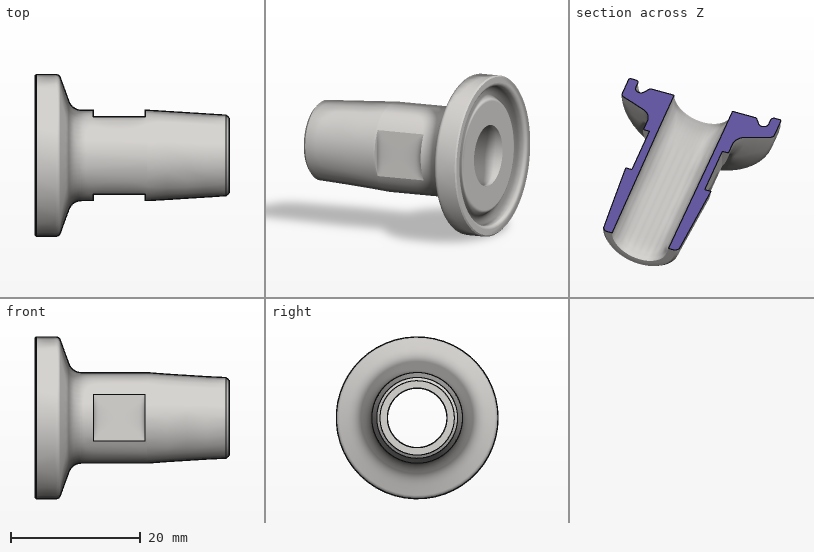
import cadquery as cq
import math

length = 30.0
shoulder_x = 17.3
end_chamfer = 0.5

flange_radius = 12.5
flange_chamfer = 0.2
flange_rim_x = 3.2
flange_cone_angle = math.radians(70)
flange_edge_fillet = 0.75
neck_fillet = 2.0

body_radius = 7.0
taper_slope = 1 / 16
flat_start_x = 9.0
flat_length = 8.0
flat_half_width = 6.0

entry_bore_radius = 4.75
exit_bore_radius = 4.58
entry_bore_end_x = 5.9

hub_recess = 0.88
hub_radius = 8.46
hub_edge_fillet = 0.5
hub_wall_angle = math.radians(55)
groove_outer_radius = 10.86
groove_floor_fillet = 0.8
groove_lip_fillet = 0.54


def arc_point(center, radius, angle):
    """Point (x, r) on a circle; the angle is measured from +X towards +r."""
    return (center[0] + radius * math.cos(angle), center[1] + radius * math.sin(angle))


def turned_body():
    """Flange, back cone, neck and tapered spigot as one revolved outline."""
    taper_end_x = length - end_chamfer
    taper_end_radius = body_radius - taper_slope * (taper_end_x - shoulder_x)

    normal = math.pi / 2 - flange_cone_angle
    edge_center = (flange_rim_x, flange_radius - flange_edge_fillet)
    cone_top = arc_point(edge_center, flange_edge_fillet, normal)
    edge_middle = arc_point(edge_center, flange_edge_fillet, (normal + math.pi / 2) / 2)

    neck_center_r = body_radius + neck_fillet
    cone_bottom_r = neck_center_r - neck_fillet * math.sin(normal)
    cone_bottom_x = cone_top[0] + (cone_top[1] - cone_bottom_r) / math.tan(flange_cone_angle)
    neck_center = (cone_bottom_x + neck_fillet * math.cos(normal), neck_center_r)
    neck_middle = arc_point(neck_center, neck_fillet, math.pi + (normal + math.pi / 2) / 2)

    outline = (
        cq.Workplane("XY")
        .moveTo(0, 0)
        .lineTo(0, flange_radius - flange_chamfer)
        .lineTo(flange_chamfer, flange_radius)
        .lineTo(flange_rim_x, flange_radius)
        .threePointArc(edge_middle, cone_top)
        .lineTo(cone_bottom_x, cone_bottom_r)
        .threePointArc(neck_middle, (neck_center[0], body_radius))
        .lineTo(shoulder_x, body_radius)
        .lineTo(taper_end_x, taper_end_radius)
        .lineTo(length, taper_end_radius - end_chamfer)
        .lineTo(length, 0)
        .close()
    )
    return outline.revolve(360, (0, 0), (1, 0))


def face_recess():
    """Hub recess and annular groove with a sloped inner wall, a round floor and a rounded outer lip."""
    hub_center = (hub_recess + hub_edge_fillet, hub_radius)
    wall_top = arc_point(hub_center, hub_edge_fillet, math.pi - hub_wall_angle)
    hub_middle = arc_point(hub_center, hub_edge_fillet, math.pi - hub_wall_angle / 2)

    floor_center_r = groove_outer_radius - groove_floor_fillet
    wall_bottom_r = floor_center_r - groove_floor_fillet * math.sin(hub_wall_angle)
    wall_bottom_x = wall_top[0] + (wall_bottom_r - wall_top[1]) * math.tan(hub_wall_angle)
    floor_center_x = wall_bottom_x - groove_floor_fillet * math.cos(hub_wall_angle)
    floor_bottom = (floor_center_x + groove_floor_fillet, floor_center_r)

    lip_center = (groove_lip_fillet, groove_outer_radius + groove_lip_fillet)
    lip_middle = arc_point(lip_center, groove_lip_fillet, -3 * math.pi / 4)

    outline = (
        cq.Workplane("XY")
        .moveTo(0, 0)
        .lineTo(hub_recess, 0)
        .lineTo(hub_recess, hub_radius)
        .threePointArc(hub_middle, wall_top)
        .lineTo(wall_bottom_x, wall_bottom_r)
        .threePointArc(floor_bottom, (floor_center_x, groove_outer_radius))
        .lineTo(groove_lip_fillet, groove_outer_radius)
        .threePointArc(lip_middle, (0, lip_center[1]))
        .close()
    )
    return outline.revolve(360, (0, 0), (1, 0))


def bore():
    """Through bore: a straight entry, then a slight taper towards the spigot end."""
    outline = (
        cq.Workplane("XY")
        .moveTo(0, 0)
        .lineTo(0, entry_bore_radius)
        .lineTo(entry_bore_end_x, entry_bore_radius)
        .lineTo(length, exit_bore_radius)
        .lineTo(length, 0)
        .close()
    )
    return outline.revolve(360, (0, 0), (1, 0))


def wrench_flat(side):
    """Block that cuts one flat on the +Y (side = 1) or -Y (side = -1) of the spigot."""
    depth = body_radius - flat_half_width
    return cq.Workplane("XY").box(flat_length, depth, 2 * body_radius).translate(
        (flat_start_x + flat_length / 2, side * (flat_half_width + depth / 2), 0)
    )


result = turned_body().cut(face_recess()).cut(bore())
for side in (1, -1):
    result = result.cut(wrench_flat(side))